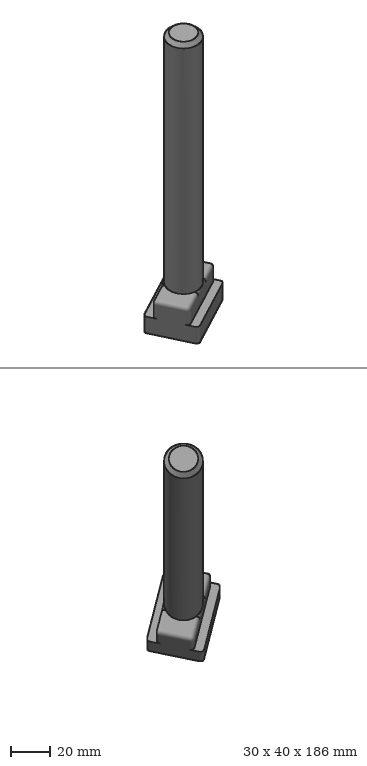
import cadquery as cq
import math

foot_width = 30.0
head_length = 40.0
foot_height = 11.0

shank_diameter = 20.0
neck_width = shank_diameter
head_height = 22.0

total_height = 186.0
tip_chamfer = 2.5

edge_radius = 2.0

shank_radius = shank_diameter / 2
side_x = neck_width / 2
inner_x = side_x - edge_radius
low_z = head_height - edge_radius
fade_length = math.sqrt(shank_radius**2 - inner_x**2)

fade_shares = (0.05, 0.25, 0.5, 0.75, 1.0)
cut_margin = 1.0

quarter_handle = 4 / 3 * (math.sqrt(2) - 1)


def make_block(width, height):
    """Block standing on Z = 0, with rounded upright corners."""
    return (
        cq.Workplane("XY")
        .box(width, head_length, height, centered=(True, True, False))
        .edges("|Z")
        .fillet(edge_radius)
    )


def fade_section(y):
    """Closed outline, at distance y from the shank axis, of the corner to cut.

    The quarter-ellipse rounding starts on the outline of the shank and ends on
    the side of the neck. The outline then passes outside the neck to enclose its corner.
    """
    reach_in = side_x - math.sqrt(shank_radius**2 - y**2)
    reach_down = edge_radius * (1 - (1 - y / fade_length) ** 2)
    round_x = side_x - reach_in
    round_z = head_height - reach_down

    inner = cq.Vector(round_x, y, head_height)
    inner_handle = cq.Vector(round_x + reach_in * quarter_handle, y, head_height)
    low_handle = cq.Vector(side_x, y, round_z + reach_down * quarter_handle)
    low = cq.Vector(side_x, y, round_z)
    rounding = cq.Edge.makeBezier([inner, inner_handle, low_handle, low])

    outside = [
        cq.Vector(side_x + cut_margin, y, round_z),
        cq.Vector(side_x + cut_margin, y, head_height + cut_margin),
        cq.Vector(round_x, y, head_height + cut_margin),
    ]
    path = [low] + outside + [inner]
    lines = [cq.Edge.makeLine(start, end) for start, end in zip(path, path[1:])]
    return cq.Wire.assembleEdges([rounding] + lines)


def make_fade_cutter():
    """Cutter for the fading rounding on the +X +Y side of the shank."""
    sections = [fade_section(share * fade_length) for share in fade_shares]
    return cq.Workplane(cq.Solid.makeLoft(sections))


def make_fade_zone():
    """Middle slice of the neck top, built as one quarter mirrored twice."""
    quarter = (
        cq.Workplane("XY")
        .workplane(offset=low_z)
        .box(side_x, fade_length, edge_radius, centered=False)
        .cut(make_fade_cutter())
    )
    half = quarter.union(quarter.mirror("XZ"))
    return half.union(half.mirror("YZ"))


def make_neck():
    neck = make_block(neck_width, head_height).faces(">Z").edges().fillet(edge_radius)
    return neck.union(make_fade_zone())


def make_shank():
    """Shank starting on top of the head, with a chamfered tip."""
    return (
        cq.Workplane("XY")
        .workplane(offset=head_height)
        .circle(shank_radius)
        .extrude(total_height - head_height)
        .faces(">Z")
        .chamfer(tip_chamfer)
    )


result = make_block(foot_width, foot_height).union(make_neck()).union(make_shank())